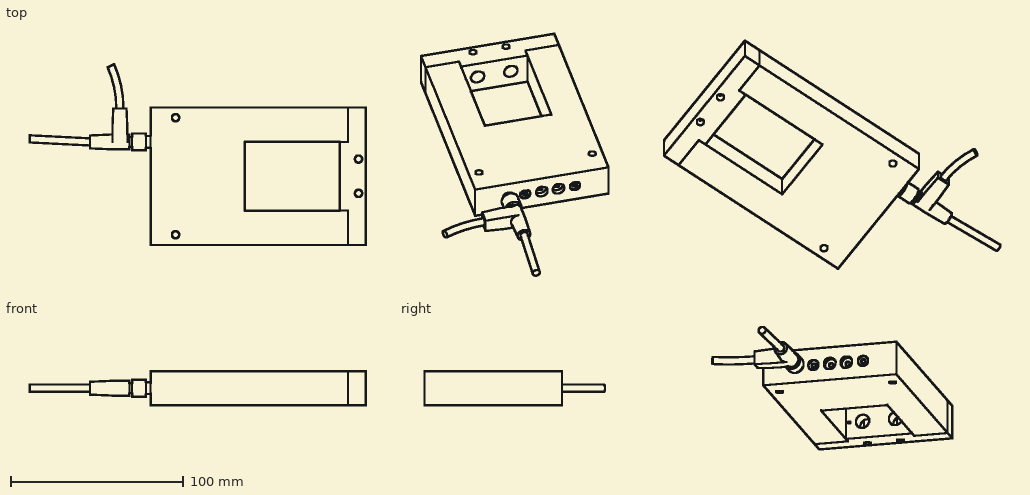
import cadquery as cq

OVERALL_LENGTH = 195.2
LENGTH, WIDTH, HEIGHT = 125.0, 80.0, 20.0
PITCH = 10.0

CAP_LENGTH = 10.5
TONGUE_LENGTH = 4.7
ARM_WIDTH = 20.1
WINDOW_START = 54.7
ARM_END = LENGTH - CAP_LENGTH
OPENING = WIDTH - 2 * ARM_WIDTH
MOUNT_HOLE_DIAMETER = 4.1
FRAME_HOLE_X = 14.5
FRAME_HOLE_Y = 34.0
CAP_HOLE_X = LENGTH - 4.3
LENS_DIAMETER = 8.0
LENS_DEPTH = 9.8
APERTURE_DIAMETER = 1.2
APERTURE_DEPTH = 1.0
APERTURE_Y = 18.0

DIAL_DIAMETER = 7.0
DIAL_DEPTH = 3.1
LAMP_DIAMETER = 6.0
LAMP_DEPTH = 1.0
PIT_DIAMETER = 2.5
PIT_DEPTH = 1.0

PLUG_Y = 2 * PITCH
STUB_DIAMETER = 7.0
NUT_DIAMETER = 10.0
NUT_FRONT, NUT_REAR = -2.7, -10.7
NECK_DIAMETER = 5.9
SLEEVE_FRONT = -12.3
SLEEVE_MIDDLE = -22.3
SLEEVE_REAR = -35.3
SLEEVE_DIAMETER = 8.8
SLEEVE_END_DIAMETER = 7.6
BRANCH_WIDTH = SLEEVE_DIAMETER
BRANCH_END_WIDTH = 7.8
BRANCH_X = SLEEVE_MIDDLE + BRANCH_WIDTH / 2
BRANCH_TAPER_Y = 28.3
BRANCH_END_Y = 39.5

CABLE_DIAMETER = 4.3
STRAIGHT_END_X = LENGTH - OVERALL_LENGTH
STRAIGHT_RISE = 1.8
BEND_RADIUS = 60.7
BEND_ANGLE = 24.0


def upright_holes(points, diameter):
    """Cylinders along Z through the full height."""
    return (
        cq.Workplane("XY", origin=(0, 0, -HEIGHT / 2))
        .pushPoints(points)
        .circle(diameter / 2)
        .extrude(HEIGHT)
    )


def bores(x, y_places, diameter, depth):
    """Cylinders that run from X = x in the +X direction at mid height."""
    return (
        cq.Workplane("YZ", origin=(x, 0, 0))
        .pushPoints([(y, 0) for y in y_places])
        .circle(diameter / 2)
        .extrude(depth)
    )


def make_frame():
    """U-shaped frame with its arms along +X, two mounting holes and four rear controls."""
    frame = cq.Workplane("XY").box(ARM_END, WIDTH, HEIGHT, centered=(False, True, True))
    window = (
        cq.Workplane("XY", origin=(WINDOW_START, 0, 0))
        .box(ARM_END - WINDOW_START, OPENING, HEIGHT, centered=(False, True, True))
    )
    frame = frame.cut(window)
    mounts = [(FRAME_HOLE_X, FRAME_HOLE_Y), (FRAME_HOLE_X, -FRAME_HOLE_Y)]
    frame = frame.cut(upright_holes(mounts, MOUNT_HOLE_DIAMETER))
    controls = [
        ((0, -PITCH), DIAL_DIAMETER, DIAL_DEPTH),
        ((PITCH, -2 * PITCH), LAMP_DIAMETER, LAMP_DEPTH),
    ]
    for y_places, diameter, depth in controls:
        frame = frame.cut(bores(0, y_places, diameter, depth))
        frame = frame.cut(bores(depth, y_places, PIT_DIAMETER, PIT_DEPTH))
    return frame


def make_cap():
    """End bar whose tongue fits between the arms of the frame."""
    cap = (
        cq.Workplane("XY", origin=(ARM_END, 0, 0))
        .box(CAP_LENGTH, WIDTH, HEIGHT, centered=(False, True, True))
    )
    tongue_start = ARM_END - TONGUE_LENGTH
    tongue = (
        cq.Workplane("XY", origin=(tongue_start, 0, 0))
        .box(TONGUE_LENGTH, OPENING, HEIGHT, centered=(False, True, True))
    )
    cap = cap.union(tongue)
    cap = cap.cut(upright_holes([(CAP_HOLE_X, PITCH), (CAP_HOLE_X, -PITCH)], MOUNT_HOLE_DIAMETER))
    cap = cap.cut(bores(tongue_start, (PITCH, -PITCH), LENS_DIAMETER, LENS_DEPTH))
    return cap.cut(bores(tongue_start, (APERTURE_Y,), APERTURE_DIAMETER, APERTURE_DEPTH))


def make_plug():
    """Turned plug along X with a square, tapering branch along +Y."""
    profile = [
        (SLEEVE_REAR, 0),
        (SLEEVE_REAR, -SLEEVE_END_DIAMETER / 2),
        (SLEEVE_MIDDLE, -SLEEVE_DIAMETER / 2),
        (SLEEVE_FRONT, -SLEEVE_DIAMETER / 2),
        (SLEEVE_FRONT, -NECK_DIAMETER / 2),
        (NUT_REAR, -NECK_DIAMETER / 2),
        (NUT_REAR, -NUT_DIAMETER / 2),
        (NUT_FRONT, -NUT_DIAMETER / 2),
        (NUT_FRONT, -STUB_DIAMETER / 2),
        (0, -STUB_DIAMETER / 2),
        (0, 0),
    ]
    turned = (
        cq.Workplane("XY", origin=(0, PLUG_Y, 0))
        .polyline(profile)
        .close()
        .revolve(360, (0, 0, 0), (1, 0, 0))
    )
    block = (
        cq.Workplane("XY", origin=(BRANCH_X, PLUG_Y, 0))
        .box(BRANCH_WIDTH, BRANCH_TAPER_Y - PLUG_Y, BRANCH_WIDTH, centered=(True, False, True))
    )
    taper = (
        cq.Workplane("XZ", origin=(BRANCH_X, BRANCH_TAPER_Y, 0))
        .rect(BRANCH_WIDTH, BRANCH_WIDTH)
        .workplane(offset=BRANCH_TAPER_Y - BRANCH_END_Y)
        .rect(BRANCH_END_WIDTH, BRANCH_END_WIDTH)
        .loft(ruled=True)
    )
    return turned.union(block).union(taper)


def make_straight_cable():
    """Cable with both ends square to X, leaning sideways as it runs back."""
    return (
        cq.Workplane("YZ", origin=(SLEEVE_REAR, PLUG_Y, 0))
        .circle(CABLE_DIAMETER / 2)
        .workplane(offset=STRAIGHT_END_X - SLEEVE_REAR)
        .center(STRAIGHT_RISE, 0)
        .circle(CABLE_DIAMETER / 2)
        .loft(ruled=True)
    )


def make_bent_cable():
    """Cable that leaves the branch along +Y and bends towards -X."""
    return (
        cq.Workplane("XZ", origin=(BRANCH_X, BRANCH_END_Y, 0))
        .circle(CABLE_DIAMETER / 2)
        .revolve(BEND_ANGLE, (-BEND_RADIUS, 0, 0), (-BEND_RADIUS, 1, 0))
    )


frame = make_frame()
cap = make_cap()
plug = make_plug()
straight_cable = make_straight_cable()
bent_cable = make_bent_cable()

result = cq.Compound.makeCompound(
    [frame.val(), cap.val(), plug.val(), straight_cable.val(), bent_cable.val()]
)